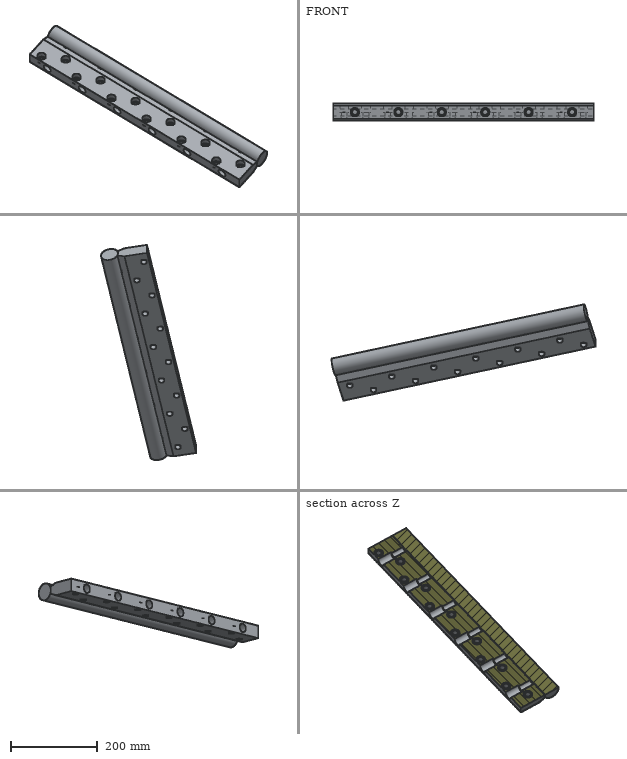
import cadquery as cq
import math

length = 600.0
total_width = 108.0
shaft_diameter = 40.0
shaft_radius = shaft_diameter / 2

rail_height = 30.0
flat_width = 53.0
neck_height = 15.5
rail_front = shaft_radius - total_width
shoulder_y = rail_front + flat_width
neck_y = -math.sqrt(shaft_radius**2 - (neck_height / 2) ** 2)

hole_diameter = 13.0
counterbore_diameter = 20.0
vertical_counterbore_depth = 15.0
front_counterbore_depth = 36.0
holes_per_row = 6
hole_pitch = length / holes_per_row
front_row_inset = 12.0
back_row_inset = 38.0


def row_positions(pitch_fraction):
    """X positions of a row whose first hole lies a fraction of a pitch from the end."""
    first_x = -length / 2 + pitch_fraction * hole_pitch
    return [first_x + i * hole_pitch for i in range(holes_per_row)]


def make_shaft():
    return cq.Workplane("YZ", origin=(-length / 2, 0, 0)).circle(shaft_radius).extrude(length)


def make_rail_blank():
    """Rail with tapered neck and a concave seat that fits the shaft."""
    half_height = rail_height / 2
    half_neck = neck_height / 2
    return (
        cq.Workplane("YZ", origin=(-length / 2, 0, 0))
        .moveTo(rail_front, -half_height)
        .lineTo(shoulder_y, -half_height)
        .lineTo(neck_y, -half_neck)
        .threePointArc((-shaft_radius, 0), (neck_y, half_neck))
        .lineTo(shoulder_y, half_height)
        .lineTo(rail_front, half_height)
        .close()
        .extrude(length)
    )


def cut_vertical_holes(rail):
    """Two staggered rows of counterbored holes through the rail's height."""
    front_row = [(x, rail_front + front_row_inset) for x in row_positions(1 / 4)]
    back_row = [(x, rail_front + back_row_inset) for x in row_positions(3 / 4)]
    return (
        rail.copyWorkplane(cq.Workplane("XY", origin=(0, 0, rail_height / 2)))
        .pushPoints(front_row + back_row)
        .cboreHole(hole_diameter, counterbore_diameter, vertical_counterbore_depth)
    )


def cut_front_holes(rail):
    """Row of counterbored holes from the front face through to the shaft seat."""
    return (
        rail.copyWorkplane(cq.Workplane("XZ", origin=(0, rail_front, 0)))
        .pushPoints([(x, 0) for x in row_positions(1 / 2)])
        .cboreHole(hole_diameter, counterbore_diameter, front_counterbore_depth)
    )


shaft = make_shaft()
rail = cut_front_holes(cut_vertical_holes(make_rail_blank()))

result = cq.Compound.makeCompound([shaft.val(), rail.val()])